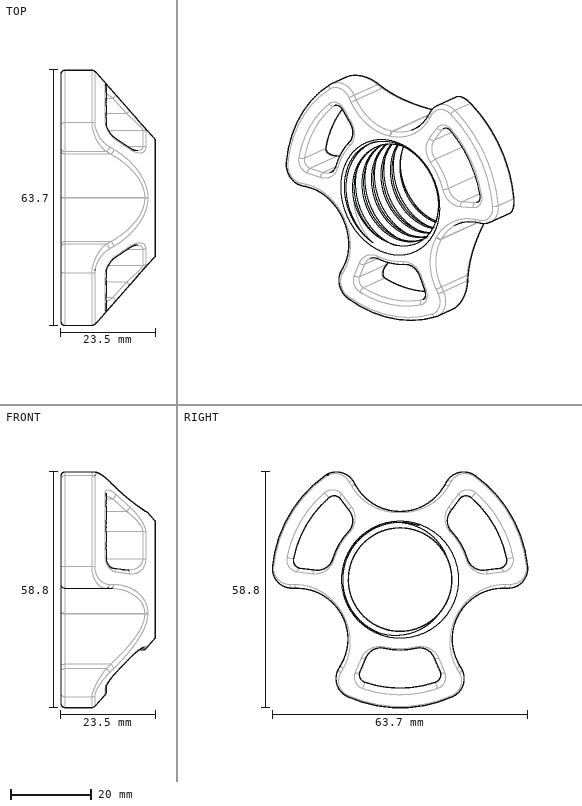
import cadquery as cq
import math


LENGTH = 23.5
RIM_RADIUS = 32.0
RIM_LENGTH = 8.15
CONE_END_RADIUS = 14.6

LOBE_COUNT = 3
LOBE_PITCH = 360 / LOBE_COUNT
FIRST_LOBE_ANGLE = -90
SCOOP_RADIUS = 12.5
SCOOP_FLAT_WIDTH = 0.2
SCOOP_BOTTOM_RADIUS = 17.0
SCOOP_HALF_ANGLE = 60
LOBE_CORNER_RADIUS = 5.0

WINDOW_INNER_RADIUS = 17.6
WINDOW_OUTER_RADIUS = 27.0
WINDOW_HALF_ANGLE = 23.5
WINDOW_INNER_CORNER_RADIUS = 3.9
WINDOW_OUTER_CORNER_RADIUS = 2.0

EDGE_FILLET = 1.0

THREAD_MINOR_RADIUS = 12.9
THREAD_MAJOR_RADIUS = 14.3
THREAD_PITCH = 4.2
THREAD_ROOT_WIDTH = 1.85
THREAD_FLANK_ANGLE = 30
THREAD_START_ANGLE = 120
THREAD_CUT_OVERLAP = 0.3
THREAD_OVERRUN = 0.8 * THREAD_PITCH
BORE_MOUTH_RADIUS = 14.9


def polar(radius, angle):
    """Point in the YZ plane at the given angle in degrees from +Y."""
    turn = math.radians(angle)
    return (radius * math.cos(turn), radius * math.sin(turn))


def revolve_about_x(points):
    """Solid of revolution about X from (x, radius) points."""
    return cq.Workplane("XZ").polyline(points).close().revolve(360, (0, 0, 0), (1, 0, 0))


def make_blank():
    return revolve_about_x(
        [(0, 0), (0, RIM_RADIUS), (RIM_LENGTH, RIM_RADIUS), (LENGTH, CONE_END_RADIUS), (LENGTH, 0)]
    )


def make_scoop():
    """Cutter on the +Z side: two arcs joined by a narrow flat, with tangent straight sides."""
    half_angle = math.radians(SCOOP_HALF_ANGLE)
    mid_angle = half_angle / 2
    flat_half = SCOOP_FLAT_WIDTH / 2
    centre_z = SCOOP_BOTTOM_RADIUS + SCOOP_RADIUS
    mid_y = flat_half + SCOOP_RADIUS * math.sin(mid_angle)
    mid_z = centre_z - SCOOP_RADIUS * math.cos(mid_angle)
    side_y = flat_half + SCOOP_RADIUS * math.sin(half_angle)
    side_z = centre_z - SCOOP_RADIUS * math.cos(half_angle)
    top_z = RIM_RADIUS + SCOOP_RADIUS
    top_y = side_y + (top_z - side_z) / math.tan(half_angle)
    return (
        cq.Workplane("YZ")
        .moveTo(-top_y, top_z)
        .lineTo(-side_y, side_z)
        .threePointArc((-mid_y, mid_z), (-flat_half, SCOOP_BOTTOM_RADIUS))
        .lineTo(flat_half, SCOOP_BOTTOM_RADIUS)
        .threePointArc((mid_y, mid_z), (side_y, side_z))
        .lineTo(top_y, top_z)
        .close()
        .extrude(LENGTH)
    )


def lengthwise_edges(part, inner_radius=0, outer_radius=math.inf):
    """Edges parallel to X that lie between two distances from the hub axis."""
    return part.edges("|X").filter(
        lambda edge: inner_radius < math.hypot(edge.Center().y, edge.Center().z) < outer_radius
    )


def make_window(lobe_angle):
    """Cutter with rounded corners: larger rounds at the inner arc, smaller at the outer arc."""
    start = lobe_angle - WINDOW_HALF_ANGLE
    end = lobe_angle + WINDOW_HALF_ANGLE
    window = (
        cq.Workplane("YZ")
        .moveTo(*polar(WINDOW_INNER_RADIUS, start))
        .lineTo(*polar(WINDOW_OUTER_RADIUS, start))
        .threePointArc(polar(WINDOW_OUTER_RADIUS, lobe_angle), polar(WINDOW_OUTER_RADIUS, end))
        .lineTo(*polar(WINDOW_INNER_RADIUS, end))
        .threePointArc(polar(WINDOW_INNER_RADIUS, lobe_angle), polar(WINDOW_INNER_RADIUS, start))
        .close()
        .extrude(LENGTH)
    )
    middle_radius = (WINDOW_INNER_RADIUS + WINDOW_OUTER_RADIUS) / 2
    window = lengthwise_edges(window, inner_radius=middle_radius).fillet(WINDOW_OUTER_CORNER_RADIUS)
    return lengthwise_edges(window, outer_radius=middle_radius).fillet(WINDOW_INNER_CORNER_RADIUS)


def make_bore():
    """Bore cutter with a 45 degree mouth at the flat face."""
    mouth_depth = BORE_MOUTH_RADIUS - THREAD_MINOR_RADIUS
    return revolve_about_x(
        [
            (0, 0),
            (0, BORE_MOUTH_RADIUS),
            (mouth_depth, THREAD_MINOR_RADIUS),
            (LENGTH, THREAD_MINOR_RADIUS),
            (LENGTH, 0),
        ]
    )


def make_thread_groove():
    """Helical trapezoid cutter, wound about Z and then turned onto the X axis."""
    inner_radius = THREAD_MINOR_RADIUS - THREAD_CUT_OVERLAP
    root_half = THREAD_ROOT_WIDTH / 2
    flank_run = (THREAD_MAJOR_RADIUS - inner_radius) * math.tan(math.radians(THREAD_FLANK_ANGLE))
    mouth_half = root_half + flank_run
    helix = cq.Wire.makeHelix(THREAD_PITCH, LENGTH + 2 * THREAD_OVERRUN, THREAD_MINOR_RADIUS)
    groove = (
        cq.Workplane("XZ")
        .moveTo(inner_radius, -mouth_half)
        .lineTo(THREAD_MAJOR_RADIUS, -root_half)
        .lineTo(THREAD_MAJOR_RADIUS, root_half)
        .lineTo(inner_radius, mouth_half)
        .close()
        .sweep(cq.Workplane(helix), isFrenet=True)
    )
    groove = groove.translate((0, 0, -THREAD_OVERRUN)).rotate((0, 0, 0), (0, 1, 0), 90)
    return groove.rotate((0, 0, 0), (1, 0, 0), THREAD_START_ANGLE)


body = make_blank()
scoop = make_scoop()
for index in range(LOBE_COUNT):
    body = body.cut(scoop.rotate((0, 0, 0), (1, 0, 0), index * LOBE_PITCH))
body = lengthwise_edges(body, inner_radius=WINDOW_OUTER_RADIUS).fillet(LOBE_CORNER_RADIUS)

for index in range(LOBE_COUNT):
    body = body.cut(make_window(FIRST_LOBE_ANGLE + index * LOBE_PITCH))

body = body.faces("<X or %CONE").edges().edges("not >X").fillet(EDGE_FILLET)

body = body.cut(make_thread_groove(), clean=False)
result = body.cut(make_bore(), clean=False)